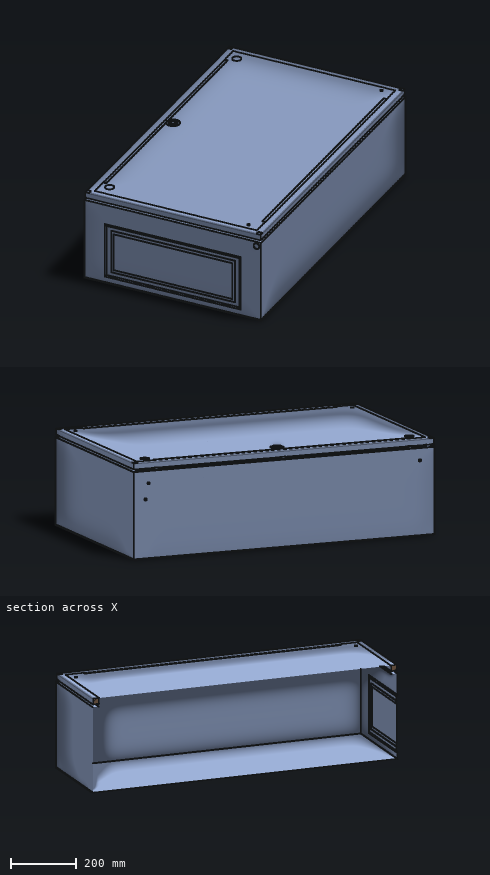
import cadquery as cq
import math

HOUSING_WIDTH = 600.0
HOUSING_LENGTH = 1000.0
HOUSING_HEIGHT = 273.0
SHEET = 1.5
HOUSING_CORNER_RADIUS = 1.5

LIP_INSET_X = 17.0
LIP_INSET_Y = 19.0
LIP_CORNER_RADIUS = 8.0
LIP_HEIGHT = 7.0
LIP_WIDTH = HOUSING_WIDTH - 2 * LIP_INSET_X
LIP_LENGTH = HOUSING_LENGTH - 2 * LIP_INSET_Y

PAD_WIDTH = 12.0
PAD_REACH = 11.0
PAD_SPACING = 421

RECESS_WIDTH = 459.0
RECESS_HEIGHT = 181.0
RECESS_CENTRE_Z = 112.0
RECESS_SLOPE_RUN = 5.0
RECESS_DEPTH = 3.0
WINDOW_WIDTH = 419.0
WINDOW_HEIGHT = 145.0

PANEL_WIDTH = 403.0
PANEL_HEIGHT = 125.0
PANEL_RISE = 1.0

BUTTON_RADIUS = 9.5
BUTTON_RISE = 2.0
BUTTON_X = 285.0
BUTTON_Z = 258.0

WALL_HOLE_RADIUS = 3.5
WALL_HOLES = [(450.0, 233.0), (-450.0, 233.0), (460.0, 184.0)]

DOOR_WIDTH = 594.0
DOOR_LENGTH = 996.0
DOOR_HEIGHT = 20
DOOR_SKIN = 1.2
DOOR_EDGE_RADIUS = 2.0
DOOR_BOTTOM = HOUSING_HEIGHT + LIP_HEIGHT
DOOR_TOP = DOOR_BOTTOM + DOOR_HEIGHT
CORNER_STEP_SIZE = 13.0
CORNER_STEP_DEPTH = 1.0

HOLLOW_WIDTH = 549.0
HOLLOW_LENGTH = 956.0
STRIP_WIDTH = 10
STRIP_LENGTH = 840.0
STRIP_THICKNESS = 1.0

LOCK_X = -243.0
DIMPLE_RADIUS = 14.0
DIMPLE_DEPTH = 0.5
DIMPLE_Y = 439.0
DOOR_HOLE_RADIUS = 4.0
DOOR_HOLE_X = 237.0
DOOR_HOLE_Y = 459.0

BARREL_RADIUS = 14.0
BARREL_RISE = 4.0
BARREL_CHAMFER = 2.0
BARREL_DEPTH = 10
COLLAR_RADIUS = 21.0
COLLAR_THICKNESS = 0.5
KEY_BORE_RADIUS = 9.0
KEY_BORE_DEPTH = 3.0


def upright_block(width, length, bottom, top):
    """Rectangular block centred on the Z axis between two heights."""
    block = cq.Workplane("XY").workplane(offset=bottom).rect(width, length)
    return block.extrude(top - bottom)


def upright_cylinder(radius, x, y, bottom, top):
    """Round bar along Z between two heights."""
    axis = cq.Workplane("XY").workplane(offset=bottom).center(x, y)
    return axis.circle(radius).extrude(top - bottom)


def front_block(width, height, depth_from_wall, thickness):
    """Block behind the front wall, centred on the recess; its front lies depth_from_wall inside."""
    front = -HOUSING_LENGTH / 2 + depth_from_wall
    block = cq.Workplane("XZ", origin=(0, front, RECESS_CENTRE_Z)).rect(width, height)
    return block.extrude(-thickness)


def front_recess(growth):
    """Tapered volume of the front recess, grown on the sides by the given amount."""
    slope = math.degrees(math.atan2(RECESS_SLOPE_RUN, RECESS_DEPTH))
    mouth = cq.Workplane("XZ", origin=(0, -HOUSING_LENGTH / 2 + growth, RECESS_CENTRE_Z))
    mouth = mouth.rect(RECESS_WIDTH + 2 * growth, RECESS_HEIGHT + 2 * growth)
    return mouth.extrude(-RECESS_DEPTH, taper=slope)


def housing_shell():
    """Box with a cavity and, at the top, an inward flange ending in the upstanding lip."""
    shell = upright_block(HOUSING_WIDTH, HOUSING_LENGTH, 0, HOUSING_HEIGHT)
    shell = shell.edges("|Z").fillet(HOUSING_CORNER_RADIUS)
    lip = upright_block(LIP_WIDTH, LIP_LENGTH, HOUSING_HEIGHT - SHEET, DOOR_BOTTOM)
    lip = lip.edges("|Z").fillet(LIP_CORNER_RADIUS)
    cavity = upright_block(
        HOUSING_WIDTH - 2 * SHEET, HOUSING_LENGTH - 2 * SHEET, SHEET, HOUSING_HEIGHT - SHEET
    )
    opening = upright_block(
        LIP_WIDTH - 2 * SHEET, LIP_LENGTH - 2 * SHEET, HOUSING_HEIGHT - SHEET, DOOR_BOTTOM
    )
    opening = opening.edges("|Z").fillet(LIP_CORNER_RADIUS - SHEET)
    return shell.union(lip).cut(cavity).cut(opening)


def build_housing():
    housing = housing_shell()

    housing = housing.union(front_recess(SHEET))
    housing = housing.cut(front_recess(0))
    housing = housing.cut(front_block(WINDOW_WIDTH, WINDOW_HEIGHT, RECESS_DEPTH, SHEET))

    for y in (-PAD_SPACING, 0, PAD_SPACING):
        pad = upright_block(PAD_REACH, PAD_WIDTH, HOUSING_HEIGHT, DOOR_BOTTOM)
        housing = housing.union(pad.translate((-(LIP_WIDTH + PAD_REACH) / 2, y, 0)))

    button = cq.Workplane("XZ", origin=(BUTTON_X, -HOUSING_LENGTH / 2, BUTTON_Z))
    housing = housing.union(button.circle(BUTTON_RADIUS).extrude(BUTTON_RISE))

    wall = cq.Workplane("YZ", origin=(-HOUSING_WIDTH / 2, 0, 0))
    return housing.cut(wall.pushPoints(WALL_HOLES).circle(WALL_HOLE_RADIUS).extrude(SHEET))


def build_gland_plate():
    plate = front_block(WINDOW_WIDTH, WINDOW_HEIGHT, RECESS_DEPTH, SHEET)
    panel = front_block(PANEL_WIDTH, PANEL_HEIGHT, RECESS_DEPTH - PANEL_RISE, PANEL_RISE)
    return plate.union(panel)


def build_door():
    door = upright_block(DOOR_WIDTH, DOOR_LENGTH, DOOR_BOTTOM, DOOR_TOP)
    door = door.faces(">Z").edges().fillet(DOOR_EDGE_RADIUS)

    skin_bottom = DOOR_TOP - DOOR_SKIN
    door = door.cut(upright_block(HOLLOW_WIDTH, HOLLOW_LENGTH, DOOR_BOTTOM, skin_bottom))
    strip = upright_block(STRIP_WIDTH, STRIP_LENGTH, skin_bottom - STRIP_THICKNESS, skin_bottom)
    for side in (-1, 1):
        door = door.union(strip.translate((side * (HOLLOW_WIDTH - STRIP_WIDTH) / 2, 0, 0)))

    step = upright_block(
        2 * CORNER_STEP_SIZE, 2 * CORNER_STEP_SIZE, DOOR_TOP - CORNER_STEP_DEPTH, DOOR_TOP
    )
    for x in (-DOOR_WIDTH / 2, DOOR_WIDTH / 2):
        for y in (-DOOR_LENGTH / 2, DOOR_LENGTH / 2):
            door = door.cut(step.translate((x, y, 0)))

    for side in (-1, 1):
        dimple_y = side * DIMPLE_Y
        hole_y = side * DOOR_HOLE_Y
        door = door.cut(
            upright_cylinder(DIMPLE_RADIUS, LOCK_X, dimple_y, DOOR_TOP - DIMPLE_DEPTH, DOOR_TOP)
        )
        door = door.cut(upright_cylinder(DOOR_HOLE_RADIUS, DOOR_HOLE_X, hole_y, skin_bottom, DOOR_TOP))

    return door.cut(upright_cylinder(BARREL_RADIUS, LOCK_X, 0, skin_bottom, DOOR_TOP))


def build_lock():
    barrel_top = DOOR_TOP + BARREL_RISE
    lock = upright_cylinder(BARREL_RADIUS, LOCK_X, 0, DOOR_TOP - BARREL_DEPTH, barrel_top)
    lock = lock.faces(">Z").edges().chamfer(BARREL_CHAMFER)
    lock = lock.union(
        upright_cylinder(COLLAR_RADIUS, LOCK_X, 0, DOOR_TOP, DOOR_TOP + COLLAR_THICKNESS)
    )
    key_bore = upright_cylinder(KEY_BORE_RADIUS, LOCK_X, 0, barrel_top - KEY_BORE_DEPTH, barrel_top)
    return lock.cut(key_bore)


housing = build_housing()
gland_plate = build_gland_plate()
door = build_door()
lock = build_lock()

bodies = [housing, gland_plate, door, lock]
result = cq.Compound.makeCompound([body.solids().val() for body in bodies])